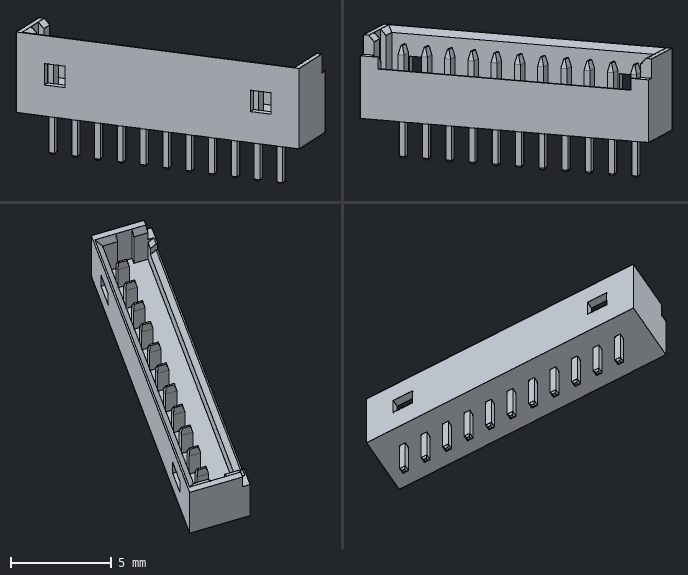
import cadquery as cq


LENGTH = 15.5
DEPTH = 3.2
HEIGHT = 4.2
OVERALL_HEIGHT = 6.5
SIDE_WALL = 0.4
END_WALL = 0.59
FLOOR = 1.2
STEP_DROP = 0.99

WALL_BEVEL = 0.31
END_BEVEL = 0.3

NOTCH_DROP = 0.6
NOTCH_INSET = 0.96

GROOVE_DEPTH = END_BEVEL
GROOVE_FRONT = 1.2
GROOVE_WIDTH = 0.85

WINDOW_INSET = 1.55
WINDOW_WIDTH = 1.12
WINDOW_BOTTOM = 1.63
WINDOW_HEIGHT = 1.12

PIN_COUNT = 11
PIN_ROW_SPAN = 12.5
PIN_Y = 1.15
PIN_SIZE = 0.33
BLADE_DEPTH = 0.6
BLADE_TOP = 3.49
BLADE_TAPER = 0.46
BLADE_TIP_WIDTH = 0.08
BLADE_TIP_DEPTH = 0.45
TAIL_TAPER = 0.11
TAIL_TIP_SIZE = 0.14

CAVITY_LENGTH = LENGTH - 2 * END_WALL
CAVITY_BACK = DEPTH - SIDE_WALL
BACK_TOP = HEIGHT - STEP_DROP
NOTCH_TOP = BACK_TOP - NOTCH_DROP
NOTCH_LENGTH = LENGTH - 2 * NOTCH_INSET
WINDOW_X = LENGTH / 2 - WINDOW_INSET - WINDOW_WIDTH / 2
TAIL_BOTTOM = HEIGHT - OVERALL_HEIGHT
PIN_PITCH = PIN_ROW_SPAN / (PIN_COUNT - 1)


def block(length, y_front, y_back, z_bottom, z_top, x=0.0):
    """Box centred on x, given by its Y and Z limits."""
    return (
        cq.Workplane("XY")
        .box(length, y_back - y_front, z_top - z_bottom, centered=(True, False, False))
        .translate((x, y_front, z_bottom))
    )


def mouth_bevel():
    """Flared mouth: widens towards the front and both ends, straight at the back."""
    top_length = CAVITY_LENGTH + 2 * END_BEVEL
    top_front = SIDE_WALL - WALL_BEVEL
    lower_depth = CAVITY_BACK - SIDE_WALL
    upper_depth = CAVITY_BACK - top_front
    return (
        cq.Workplane("XY", origin=(0, 0, HEIGHT - WALL_BEVEL))
        .center(0, SIDE_WALL + lower_depth / 2)
        .rect(CAVITY_LENGTH, lower_depth)
        .workplane(offset=WALL_BEVEL)
        .center(0, (upper_depth - lower_depth) / -2)
        .rect(top_length, upper_depth)
        .loft(ruled=True)
    )


def back_bevel(length, top):
    """Wedge that slopes the inner edge of the back wall whose top is at the given height."""
    return (
        cq.Workplane("YZ", origin=(-length / 2, 0, 0))
        .moveTo(CAVITY_BACK, top - WALL_BEVEL)
        .lineTo(CAVITY_BACK + WALL_BEVEL, top)
        .lineTo(CAVITY_BACK, top)
        .close()
        .extrude(length)
    )


def housing():
    body = block(LENGTH, 0, DEPTH, 0, HEIGHT)
    body = body.cut(block(CAVITY_LENGTH, SIDE_WALL, CAVITY_BACK, FLOOR, HEIGHT))
    body = body.cut(mouth_bevel())

    body = body.cut(block(LENGTH, CAVITY_BACK, DEPTH, BACK_TOP, HEIGHT))
    body = body.cut(back_bevel(CAVITY_LENGTH, BACK_TOP))
    body = body.cut(block(NOTCH_LENGTH, CAVITY_BACK, DEPTH, NOTCH_TOP, BACK_TOP))
    body = body.cut(back_bevel(NOTCH_LENGTH, NOTCH_TOP))

    groove_length = CAVITY_LENGTH + 2 * GROOVE_DEPTH
    groove_back = GROOVE_FRONT + GROOVE_WIDTH
    body = body.cut(block(groove_length, GROOVE_FRONT, groove_back, FLOOR, HEIGHT))

    for x in (-WINDOW_X, WINDOW_X):
        window_top = WINDOW_BOTTOM + WINDOW_HEIGHT
        body = body.cut(block(WINDOW_WIDTH, 0, SIDE_WALL, WINDOW_BOTTOM, window_top, x))
    return body


def tapered_tip(base_depth, tip_width, tip_depth, z_base, height):
    """Tip as wide as the pin at its base; a negative height points it downwards."""
    return (
        cq.Workplane("XY", origin=(0, PIN_Y, z_base))
        .rect(PIN_SIZE, base_depth)
        .workplane(offset=height)
        .rect(tip_width, tip_depth)
        .loft(ruled=True)
    )


def pin_prism(depth, z_bottom, z_top):
    """Straight length of pin, centred on the pin axis."""
    return block(PIN_SIZE, PIN_Y - depth / 2, PIN_Y + depth / 2, z_bottom, z_top)


def pin():
    blade_shoulder = BLADE_TOP - BLADE_TAPER
    blade = pin_prism(BLADE_DEPTH, FLOOR, blade_shoulder)
    blade_tip = tapered_tip(BLADE_DEPTH, BLADE_TIP_WIDTH, BLADE_TIP_DEPTH, blade_shoulder, BLADE_TAPER)

    tail_shoulder = TAIL_BOTTOM + TAIL_TAPER
    tail = pin_prism(PIN_SIZE, tail_shoulder, FLOOR)
    tail_tip = tapered_tip(PIN_SIZE, TAIL_TIP_SIZE, TAIL_TIP_SIZE, tail_shoulder, -TAIL_TAPER)

    return blade.union(blade_tip).union(tail).union(tail_tip)


result = housing()
single_pin = pin()
for index in range(PIN_COUNT):
    pin_x = (index - (PIN_COUNT - 1) / 2) * PIN_PITCH
    result = result.union(single_pin.translate((pin_x, 0, 0)))